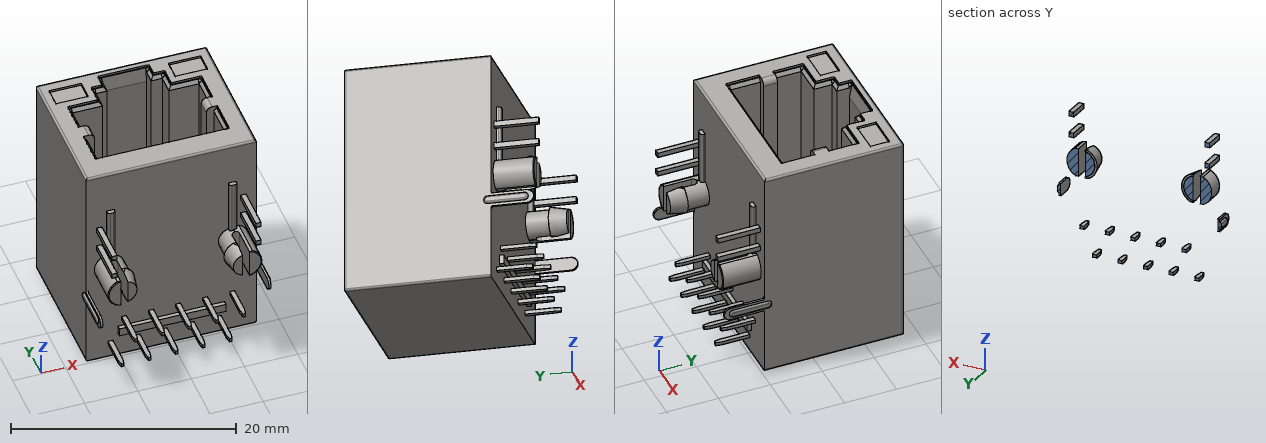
import cadquery as cq
import math


BODY_WIDTH = 16.0
BODY_DEPTH = 13.45
BODY_HEIGHT = 21.3
BODY_FILLET = 0.2
SHELL_THICKNESS = 0.21

SOCKET_DEPTH = 12.78
SOCKET_HALF_WIDTH = 5.95
STEP_HALF_WIDTH = 3.1
NOTCH_HALF_WIDTH = 2.07
SOCKET_BOTTOM = 2.7
SHOULDER_LEVEL = 9.5
STEP_LEVEL = 11.27
NOTCH_TOP = 12.48
LEAD_IN_WIDTH = 0.25
LEAD_IN_DEPTH = 0.35
NOTCH_LEAD_IN_DEPTH = 1.38
OPENING_LEDGE = 0.09
OPENING_CORNER_RADIUS = 0.13

TONGUE_TIP = 5.25
TONGUE_BOTTOM = 5.58
TONGUE_TOP = 6.92
TONGUE_RADIUS = 0.55

WINDOW_WIDTH = 3.02
WINDOW_HEIGHT = 1.85
WINDOW_X = 5.6
WINDOW_Y = 11.48

PIN_COUNT = 10
PIN_PITCH = 1.27
PIN_WIDTH = 0.45
PIN_THICKNESS = 0.35
PIN_LENGTH = 3.25
PIN_TIP_WIDTH = 0.25
PIN_TIP_LENGTH = 0.55
PIN_ROW_LOW = 1.58
PIN_ROW_HIGH = PIN_ROW_LOW + 2 * PIN_PITCH

LED_PIN_SIZE = 0.5
LED_PIN_LENGTH = 4.07
LED_PIN_X = 6.75
LED_PIN_LEVELS = (13.01, 15.08)

STANDOFF_HEIGHT = 0.4
BAR_LENGTH = 10.01
BAR_WIDTH = 0.8
BAR_Z = 2.85
RIB_WIDTH = 0.72
RIB_FILLET = 0.21
RIB_TOP = 17.06

PEG_X = 5.7
PEG_Z = 10.45
PEG_RADIUS = 1.51
PEG_HEIGHT = 2.75
PEG_LENGTH = 3.7
PEG_TIP_CHAMFER = 0.09
PEG_SLOT_WIDTH = 0.65
PEG_SLOT_FLOOR = 0.68
INNER_LEG_RADIUS = 1.3
BARB_START = 2.13
BARB_TIP_RADIUS = 1.2

TAB_Z = 7.4
TAB_WIDTH = 1.24
TAB_LENGTH = 3.9
TAB_BASE_FILLET = 0.17
BEAD_WIDTH = 0.72
BEAD_HEIGHT = 0.18
BEAD_FILLET = 0.17
BEAD_INSET = 0.65
BEAD_REACH = 3.4

OVERLAP = 0.1
SIDES = (-1, 1)


def box(x_range, y_range, z_range):
    size = [high - low for low, high in (x_range, y_range, z_range)]
    corner = cq.Vector(x_range[0], y_range[0], z_range[0])
    return cq.Workplane(cq.Solid.makeBox(*size, corner))


def span(center, size):
    return (center - size / 2, center + size / 2)


def board_plane(depth=0.0):
    """Plane parallel to the board-side face; local X, Y are global X, Z and normal is -Y."""
    return cq.Workplane("XZ", origin=(0, -depth, 0))


def socket_outline(level, offset=0.0):
    """Stepped socket outline at height Z, grown outward by an offset."""
    half = SOCKET_HALF_WIDTH + offset
    step = STEP_HALF_WIDTH + offset
    notch = NOTCH_HALF_WIDTH + offset
    right_side = [
        (half, SOCKET_BOTTOM - offset),
        (half, SHOULDER_LEVEL + offset),
        (step, SHOULDER_LEVEL + offset),
        (step, STEP_LEVEL + offset),
        (notch, STEP_LEVEL + offset),
        (notch, NOTCH_TOP + offset),
    ]
    left_side = [(-x, y) for x, y in reversed(right_side)]
    return cq.Workplane("XY", origin=(0, 0, level)).polyline(right_side + left_side).close()


def make_body():
    body = box(span(0, BODY_WIDTH), (0, BODY_DEPTH), (0, BODY_HEIGHT))
    bottom_edges = body.faces("<Z").edges("not(<Y)")
    back_corners = body.faces(">Y").edges("|Z")
    return body.faces(">Z").edges().add(bottom_edges).add(back_corners).fillet(BODY_FILLET)


def make_socket():
    ledge_level = BODY_HEIGHT - SHELL_THICKNESS
    floor_level = BODY_HEIGHT - SOCKET_DEPTH
    chamber = socket_outline(floor_level).extrude(SOCKET_DEPTH)

    flare = math.degrees(math.atan2(LEAD_IN_WIDTH, LEAD_IN_DEPTH))
    lead_in = socket_outline(ledge_level - LEAD_IN_DEPTH).extrude(LEAD_IN_DEPTH, taper=-flare)

    notch_ramp = (
        cq.Workplane("YZ")
        .moveTo(NOTCH_TOP, ledge_level - NOTCH_LEAD_IN_DEPTH)
        .lineTo(NOTCH_TOP + LEAD_IN_WIDTH, ledge_level)
        .lineTo(NOTCH_TOP, ledge_level)
        .close()
        .extrude(NOTCH_HALF_WIDTH, both=True)
    )

    opening = (
        socket_outline(ledge_level, LEAD_IN_WIDTH + OPENING_LEDGE)
        .extrude(SHELL_THICKNESS)
        .edges("|Z")
        .fillet(OPENING_CORNER_RADIUS)
    )
    return chamber.union(lead_in).union(notch_ramp).union(opening)


def make_tongue(side):
    """Full-height tongue on a socket side wall with a rounded upper nose."""
    root = SOCKET_HALF_WIDTH + LEAD_IN_WIDTH + OPENING_LEDGE + OVERLAP
    tongue = box((TONGUE_TIP, root), (TONGUE_BOTTOM, TONGUE_TOP),
                 (BODY_HEIGHT - SOCKET_DEPTH - OVERLAP, BODY_HEIGHT))
    tongue = tongue.edges("<X and >Z").fillet(TONGUE_RADIUS)
    return tongue if side > 0 else tongue.mirror("YZ")


def make_window(side):
    return box(span(side * WINDOW_X, WINDOW_WIDTH), span(WINDOW_Y, WINDOW_HEIGHT),
               (BODY_HEIGHT - SHELL_THICKNESS, BODY_HEIGHT))


def make_contact_pin(x, z):
    """Flat pin whose tip narrows in X only."""
    half = PIN_WIDTH / 2
    tip = PIN_TIP_WIDTH / 2
    taper_start = PIN_TIP_LENGTH - PIN_LENGTH
    outline = [(x - half, OVERLAP), (x - half, taper_start), (x - tip, -PIN_LENGTH),
               (x + tip, -PIN_LENGTH), (x + half, taper_start), (x + half, OVERLAP)]
    return (
        cq.Workplane("XY", origin=(0, 0, z))
        .polyline(outline)
        .close()
        .extrude(PIN_THICKNESS / 2, both=True)
    )


def make_led_pin(x, z):
    return box(span(x, LED_PIN_SIZE), (-LED_PIN_LENGTH, OVERLAP), span(z, LED_PIN_SIZE))


def make_bar():
    return box(span(0, BAR_LENGTH), (-STANDOFF_HEIGHT, OVERLAP), span(BAR_Z, BAR_WIDTH))


def make_rib(x):
    """Rounded rib running up from the peg."""
    rib = box(span(x, RIB_WIDTH), (-STANDOFF_HEIGHT, OVERLAP), (PEG_Z, RIB_TOP))
    return rib.faces("<Y").edges("|Z").fillet(RIB_FILLET)


def make_peg(side):
    """Split peg: a thick outer leg and a thinner inner leg ending in a tapered barb."""
    clearance = 2 * PEG_RADIUS
    height = span(PEG_Z, PEG_HEIGHT)
    outer_half = box((PEG_X, PEG_X + clearance), (-PEG_LENGTH, OVERLAP), height)
    inner_half = box((PEG_X - clearance, PEG_X), (-PEG_LENGTH, OVERLAP), height)

    outer_leg = (
        board_plane(-OVERLAP)
        .center(PEG_X, PEG_Z)
        .circle(PEG_RADIUS)
        .extrude(PEG_LENGTH + OVERLAP)
        .faces("<Y")
        .edges()
        .chamfer(PEG_TIP_CHAMFER)
        .intersect(outer_half)
    )
    inner_shank = (
        board_plane(-OVERLAP)
        .center(PEG_X, PEG_Z)
        .circle(INNER_LEG_RADIUS)
        .extrude(BARB_START + OVERLAP)
    )
    barb = (
        board_plane(BARB_START)
        .center(PEG_X, PEG_Z)
        .circle(PEG_RADIUS)
        .workplane(offset=PEG_LENGTH - BARB_START)
        .circle(BARB_TIP_RADIUS)
        .loft()
    )
    inner_leg = inner_shank.union(barb).intersect(inner_half)

    slot_radius = PEG_SLOT_WIDTH / 2
    slot_round_center = -(PEG_SLOT_FLOOR + slot_radius)
    slot = (
        cq.Workplane("XY", origin=(0, 0, PEG_Z))
        .moveTo(PEG_X - slot_radius, -PEG_LENGTH)
        .lineTo(PEG_X - slot_radius, slot_round_center)
        .threePointArc((PEG_X, -PEG_SLOT_FLOOR), (PEG_X + slot_radius, slot_round_center))
        .lineTo(PEG_X + slot_radius, -PEG_LENGTH)
        .close()
        .extrude(PEG_HEIGHT, both=True)
    )
    peg = outer_leg.union(inner_leg).cut(slot)
    return peg if side > 0 else peg.mirror("YZ")


def make_ground_tab(side):
    """Shell tab with a round end, flared base and a raised stiffening bead outside."""
    outer = BODY_WIDTH / 2
    inner = outer - SHELL_THICKNESS
    half = TAB_WIDTH / 2
    flared = half + TAB_BASE_FILLET
    flare_mid = TAB_BASE_FILLET * (1 - math.sqrt(0.5))
    tab = (
        cq.Workplane("YZ", origin=(inner, 0, TAB_Z))
        .moveTo(OVERLAP, flared)
        .lineTo(0, flared)
        .threePointArc((-flare_mid, half + flare_mid), (-TAB_BASE_FILLET, half))
        .lineTo(half - TAB_LENGTH, half)
        .threePointArc((-TAB_LENGTH, 0), (half - TAB_LENGTH, -half))
        .lineTo(-TAB_BASE_FILLET, -half)
        .threePointArc((-flare_mid, -half - flare_mid), (0, -flared))
        .lineTo(OVERLAP, -flared)
        .close()
        .extrude(SHELL_THICKNESS)
    )
    bead = (
        cq.Workplane("YZ", origin=(outer - OVERLAP, (BEAD_INSET - BEAD_REACH) / 2, TAB_Z))
        .slot2D(BEAD_INSET + BEAD_REACH, BEAD_WIDTH)
        .extrude(BEAD_HEIGHT + OVERLAP)
        .faces(">X")
        .edges()
        .fillet(BEAD_FILLET)
    )
    tab = tab.union(bead)
    return tab if side > 0 else tab.mirror("YZ")


result = make_body().cut(make_socket()).union(make_bar())

for side in SIDES:
    result = result.union(make_tongue(side)).cut(make_window(side))
    result = result.union(make_peg(side)).union(make_rib(side * PEG_X))
    result = result.union(make_ground_tab(side))
    for level in LED_PIN_LEVELS:
        result = result.union(make_led_pin(side * LED_PIN_X, level))

for index in range(PIN_COUNT):
    pin_x = (index - (PIN_COUNT - 1) / 2) * PIN_PITCH
    pin_row = PIN_ROW_LOW if index % 2 == 0 else PIN_ROW_HIGH
    result = result.union(make_contact_pin(pin_x, pin_row))